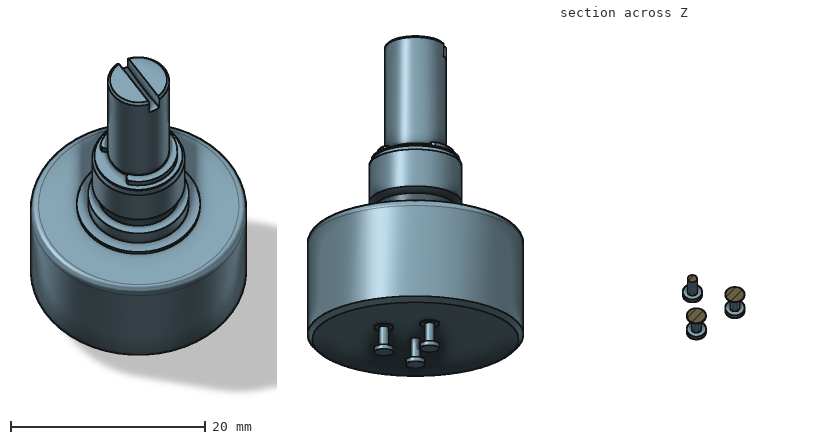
import math

import cadquery as cq

housing_top = 11.3
flange_top = 11.65
boss_top = 13.25
neck_top = 14.5
thread_bottom = 15.05
thread_top = 19.1
land_bottom = 19.58
bushing_top = 19.75
ring_top = 20.4
terminal_length = 2.8
overall_height = 35.1
shaft_top = overall_height - terminal_length

housing_diameter = 22.23
housing_radius = housing_diameter / 2
flange_radius = 6.35
boss_radius = 5.18
neck_radius = 4.2
thread_radius = 4.77
land_radius = 4.53
ring_radius = 4.0
ring_bore_radius = 3.1
shaft_radius = 3.17
groove_radius = 2.9

housing_round = 0.8
housing_chamfer = 0.5
shaft_chamfer = 0.25

ring_gap_y = -2.93
ring_gap_corner_x = 2.33

slot_width = 1.2
slot_end_depth = 1.6
slot_cutter_radius = 20.0

terminal_circle_radius = 4.83
terminal_angle = math.radians(30)
terminal_radius = 0.5
head_radius = 1.0
head_thickness = 0.5
collar_thickness = 0.1


def cylinder(radius, bottom, top, x=0, y=0):
    return cq.Workplane("XY", origin=(x, y, bottom)).circle(radius).extrude(top - bottom)


def make_housing():
    housing = cylinder(housing_radius, 0, housing_top)
    housing = housing.faces(">Z").edges().fillet(housing_round)
    return housing.faces("<Z").edges().chamfer(housing_chamfer)


def make_bushing():
    """Flange, boss, undercut neck and threaded length as one turned profile."""
    profile = [
        (0, housing_top),
        (flange_radius, housing_top),
        (flange_radius, flange_top),
        (boss_radius, flange_top),
        (boss_radius, boss_top),
        (neck_radius, boss_top),
        (neck_radius, neck_top),
        (thread_radius, thread_bottom),
        (thread_radius, thread_top),
        (land_radius, land_bottom),
        (land_radius, bushing_top),
        (0, bushing_top),
    ]
    return cq.Workplane("XZ").polyline(profile).close().revolve(360, (0, 0, 0), (0, 1, 0))


def make_retaining_ring():
    """Ring open toward -Y: tips cut flat on the outside and at 45 degrees on the inside."""
    ring = cylinder(ring_radius, bushing_top, ring_top)
    ring = ring.cut(cylinder(ring_bore_radius, bushing_top, ring_top))
    gap = (
        cq.Workplane("XY", origin=(0, 0, bushing_top))
        .moveTo(0, ring_gap_y + ring_gap_corner_x)
        .lineTo(ring_gap_corner_x, ring_gap_y)
        .lineTo(ring_radius, ring_gap_y)
        .lineTo(ring_radius, -ring_radius)
        .lineTo(-ring_radius, -ring_radius)
        .lineTo(-ring_radius, ring_gap_y)
        .lineTo(-ring_gap_corner_x, ring_gap_y)
        .close()
        .extrude(ring_top - bushing_top)
    )
    return ring.cut(gap)


def make_slot():
    """Slot whose floor is hollowed by a disc cutter with its axis along Y."""
    floor_end_z = shaft_top - slot_end_depth
    sag = slot_cutter_radius - math.sqrt(slot_cutter_radius**2 - shaft_radius**2)
    return (
        cq.Workplane("XZ")
        .moveTo(-shaft_radius, floor_end_z)
        .threePointArc((0, floor_end_z - sag), (shaft_radius, floor_end_z))
        .lineTo(shaft_radius, shaft_top)
        .lineTo(-shaft_radius, shaft_top)
        .close()
        .extrude(slot_width / 2, both=True)
    )


def make_shaft():
    groove_core = cylinder(groove_radius, bushing_top, ring_top)
    shaft = cylinder(shaft_radius, ring_top, shaft_top)
    shaft = shaft.faces(">Z").edges().chamfer(shaft_chamfer)
    return shaft.union(groove_core).cut(make_slot())


def make_terminal(x, y, has_collar):
    terminal = cylinder(terminal_radius, -terminal_length, 0, x, y)
    terminal = terminal.union(
        cylinder(head_radius, -terminal_length, head_thickness - terminal_length, x, y)
    )
    if has_collar:
        terminal = terminal.union(cylinder(head_radius, -collar_thickness, 0, x, y))
    return terminal


result = make_housing().union(make_bushing()).union(make_retaining_ring()).union(make_shaft())

side_x = terminal_circle_radius * math.sin(terminal_angle)
side_y = -terminal_circle_radius * math.cos(terminal_angle)
result = result.union(make_terminal(0, 0, False))
for x in (-side_x, side_x):
    result = result.union(make_terminal(x, side_y, True))